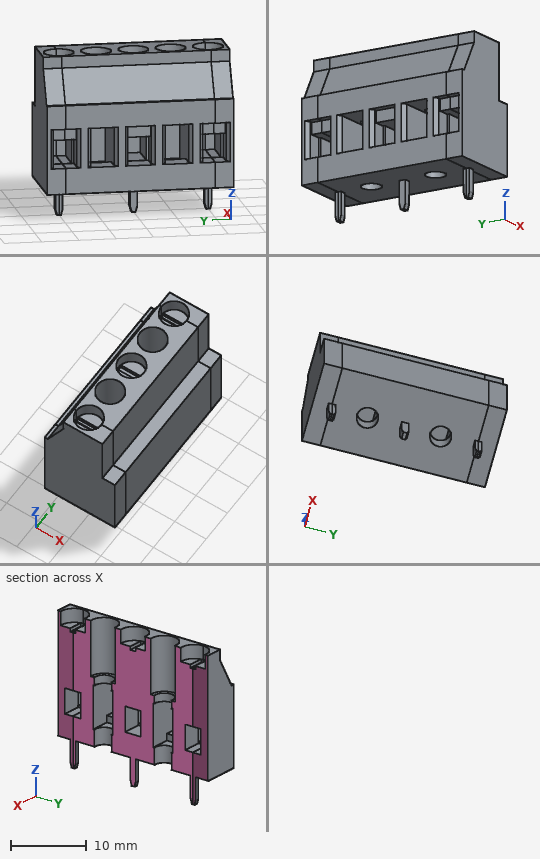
import cadquery as cq
length = 25.0
depth = 11.2
pitch = 5.0
pole_count = 5

housing_height = 18.0
front_height = 12.0
ledge_depth = 0.5
slope_top_x = 2.98
slope_top_z = 16.42
shelf_depth = 2.0
shelf_height = 10.0

window_width = 4.0
window_bottom = 3.5
window_top = 8.8
floor_depth = 2.7
mouth_depth = 0.68
mouth_inset = 0.42
throat_width = window_width - 2 * mouth_inset

bore_x = 5.35
bore_diameter = 4.0
screw_recess = 2.0
slot_width = 0.8
slot_depth = 0.5
through_diameter = 2.85
counterbore_floor = shelf_height

chamber_floor = 2.5
chamber_end_x = bore_x + bore_diameter / 2

clamp_x = 2.8
lintel_x = 1.05
clamp_top = 7.12
clamp_width = 2.55

pin_x = 5.52
pin_width = 0.95
pin_length = 4.0
pin_tip_width = 0.5
pin_tip_length = 0.78

first_pole_y = -pitch * (pole_count - 1) / 2
pole_positions = [first_pole_y + i * pitch for i in range(pole_count)]
screw_poles = pole_positions[0::2]
plain_poles = pole_positions[1::2]
parting_y = pole_positions[-1]


def box_between(x_start, x_end, width, z_start, z_end, y_centre):
    """Box spanning the given X and Z ranges, centred on y_centre."""
    box = cq.Workplane("XY").box(x_end - x_start, width, z_end - z_start, centered=(False, True, False))
    return box.translate((x_start, y_centre, z_start))


def vertical_cylinder(diameter, z_start, z_end, y_centre):
    """Cylinder on the bore axis of one pole."""
    cylinder = cq.Workplane("XY").circle(diameter / 2).extrude(z_end - z_start)
    return cylinder.translate((bore_x, y_centre, z_start))


def housing_block():
    """Stepped and sloped profile, extruded along the row."""
    profile = [
        (0, 0),
        (depth, 0),
        (depth, shelf_height),
        (depth - shelf_depth, shelf_height),
        (depth - shelf_depth, housing_height),
        (slope_top_x, housing_height),
        (slope_top_x, slope_top_z),
        (ledge_depth, front_height),
        (0, front_height),
    ]
    return cq.Workplane("XZ").polyline(profile).close().extrude(length / 2, both=True)


def window_mouth(y):
    """Tapered entrance of a wire window, narrowing from the front face to the throat."""
    outline = [
        (0, y - window_width / 2),
        (mouth_depth, y - throat_width / 2),
        (mouth_depth, y + throat_width / 2),
        (0, y + window_width / 2),
    ]
    mouth = cq.Workplane("XY").polyline(outline).close().extrude(window_top - window_bottom)
    return mouth.translate((0, 0, window_bottom))


def plain_window(y):
    """Wire window that opens into an empty chamber with a lower floor."""
    throat = box_between(0, floor_depth, throat_width, window_bottom, window_top, y)
    chamber = box_between(floor_depth, chamber_end_x, throat_width, chamber_floor, window_top, y)
    return window_mouth(y).union(throat).union(chamber)


def screw_window(y):
    """Wire window that runs under the lintel to the clamp, which leaves a narrow gap behind the floor."""
    entrance = box_between(0, lintel_x, throat_width, window_bottom, window_top, y)
    throat = box_between(0, clamp_x, throat_width, window_bottom, clamp_top, y)
    gap = box_between(floor_depth, clamp_x, throat_width, chamber_floor, clamp_top, y)
    clamp_opening = box_between(0, chamber_end_x, clamp_width, window_bottom, clamp_top, y)
    return window_mouth(y).union(entrance).union(throat).union(gap).union(clamp_opening)


def screw_bore(y):
    """Bore above the screw head, with the driver slot cut into the head."""
    head_z = housing_height - screw_recess
    slot_floor = head_z - slot_depth
    bore = vertical_cylinder(bore_diameter, head_z, housing_height, y)
    radius = bore_diameter / 2
    slot = box_between(bore_x - radius, bore_x + radius, slot_width, slot_floor, head_z, y)
    return bore.union(slot)


def plain_bore(y):
    """Counterbored hole running right through the housing."""
    counterbore = vertical_cylinder(bore_diameter, counterbore_floor, housing_height, y)
    return counterbore.union(vertical_cylinder(through_diameter, 0, housing_height, y))


def solder_pin(y):
    """Square pin below the housing, tapered in Y at its tip."""
    half_width = pin_width / 2
    half_tip = pin_tip_width / 2
    taper_z = pin_tip_length - pin_length
    outline = [
        (y - half_width, 0),
        (y - half_width, taper_z),
        (y - half_tip, -pin_length),
        (y + half_tip, -pin_length),
        (y + half_width, taper_z),
        (y + half_width, 0),
    ]
    pin = cq.Workplane("YZ").polyline(outline).close().extrude(pin_width / 2, both=True)
    return pin.translate((pin_x, 0, 0))


def terminal_row():
    """Whole row of poles before it is parted into sections."""
    row = housing_block()
    for y in plain_poles:
        row = row.cut(plain_window(y)).cut(plain_bore(y))
    for y in screw_poles:
        row = row.cut(screw_window(y)).cut(screw_bore(y)).union(solder_pin(y))
    return row


def row_slice(row, y_start, y_end):
    """Part of the row between two planes across it."""
    slab = box_between(0, depth, y_end - y_start, -pin_length, housing_height, (y_start + y_end) / 2)
    return row.intersect(slab)


def centre_section(row):
    """Middle of the row, up to both parting planes."""
    return row_slice(row, -parting_y, parting_y)


def end_section(row, side):
    """End of the row beyond one parting plane; side is -1 or +1."""
    y_limits = sorted([side * parting_y, side * length / 2])
    return row_slice(row, *y_limits)


terminal = terminal_row()
centre = centre_section(terminal)
ends = [end_section(terminal, side) for side in (-1, 1)]

result = cq.Compound.makeCompound([centre.val(), *[end.val() for end in ends]])